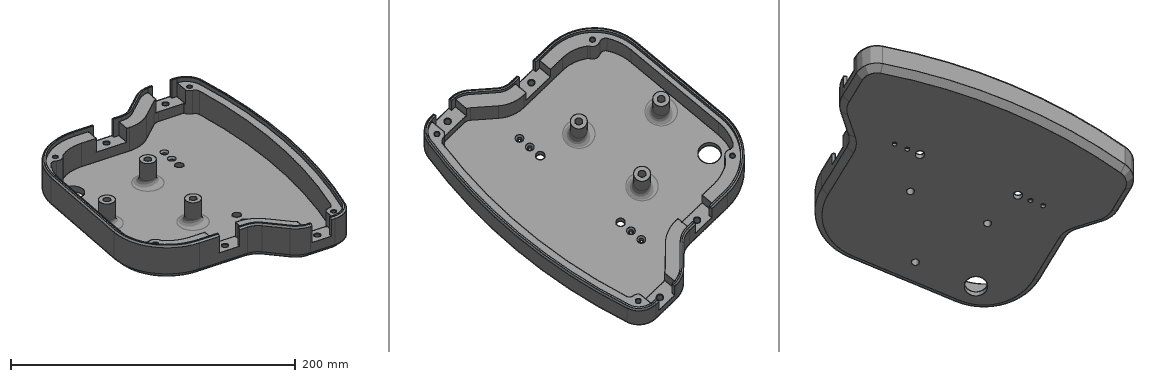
import cadquery as cq
import math

half_width = 108.5
half_length = 84.8
height = 28.0
floor_thickness = 5.0
bottom_chamfer = 5.0

body_half_width = 85.9
rear_arc_radius = 407.7
shoulder_y = 28.8
waist_y = 4.3
head_corner_radius = 16.7
shoulder_radius = 20.0
waist_radius = 14.3
front_corner_radius = 43.8

lip_thickness = 2.5
lip_chamfer = 1.3
ledge_z = 24.5

side_wall = 13.0
rear_wall = 9.0
front_wall = 6.3

rear_boss = (96.7, 63.1)
front_boss = (67.2, -66.0)
boss_radius = 5.5
rear_wall_start_y = 59.5
front_wall_start_y = -64.0
blend_points = [(91.5, 64.6), (62.0, -64.6), (65.0, -71.0)]
boss_blend_radius = 4.3
boss_hole_diameter = 3.5
boss_hole_mouth = 4.1

notch_z = 13.0
notches = [
    (half_width, (38.2, 54.2), (34.3, 58.3), 102.0, 46.5),
    (body_half_width, (-24.5, -7.8), (-28.6, -3.5), 79.5, -16.0),
]
notch_inner_x = 71.5
notch_hole_diameter = 4.3
notch_hole_mouth = 5.2
screw_depth = 10.8

standoffs = [(-30.4, -12.1), (30.4, -12.1), (0.0, -64.6)]
standoff_diameter = 12.0
standoff_bore = 5.5
standoff_flare = 5.5

hole_row_y = 18.9
countersunk_x = (58.5, 48.5)
plain_hole_x = 38.5
plain_hole_diameter = 6.5
pilot_diameter = 3.3
countersink_diameter = 6.0
cable_hole = (-47.3, -63.8)
cable_hole_diameter = 16.5


def mirrored(x, y):
    """Return a point and its mirror image about the YZ plane."""
    return [(x, y), (-x, y)]


def outer_prism():
    """Full-height block with the rounded outer outline."""
    rear_sag = rear_arc_radius - math.sqrt(rear_arc_radius**2 - half_width**2)
    rear_corner_y = half_length - rear_sag
    block = (
        cq.Workplane("XY")
        .moveTo(-half_width, rear_corner_y)
        .threePointArc((0, half_length), (half_width, rear_corner_y))
        .lineTo(half_width, shoulder_y)
        .lineTo(body_half_width, waist_y)
        .lineTo(body_half_width, -half_length)
        .lineTo(-body_half_width, -half_length)
        .lineTo(-body_half_width, waist_y)
        .lineTo(-half_width, shoulder_y)
        .close()
        .extrude(height)
    )
    corners = [
        (half_width, rear_corner_y, head_corner_radius),
        (half_width, shoulder_y, shoulder_radius),
        (body_half_width, waist_y, waist_radius),
        (body_half_width, -half_length, front_corner_radius),
    ]
    for x, y, radius in corners:
        for corner in mirrored(x, y):
            edge = cq.selectors.NearestToPointSelector((*corner, height / 2))
            block = block.edges("|Z").edges(edge).fillet(radius)
    return block


def inset_prism(block, inset, bottom_z):
    """Prism of the outline moved inwards, from bottom_z up to the rim."""
    outline = block.faces("<Z").wires().val()
    inner = outline.offset2D(-inset)[0]
    return cq.Workplane("XY").add(inner).toPending().extrude(height).translate((0, 0, bottom_z))


def box(x_range, y_range, z_range):
    """Axis-aligned box given by its three ranges."""
    sizes = [high - low for low, high in (x_range, y_range, z_range)]
    corner = (x_range[0], y_range[0], z_range[0])
    return cq.Workplane("XY").box(*sizes, centered=False).translate(corner)


def cylinders(points, diameter, z_range):
    """Upright cylinders of one diameter at the given points."""
    low, high = z_range
    return cq.Workplane("XY", origin=(0, 0, low)).pushPoints(points).circle(diameter / 2).extrude(high - low)


def countersunk_holes(points, diameter, mouth_diameter, z_range):
    """Hole cutters with a 45 degree countersink at the top end."""
    low, high = z_range
    sink_depth = (mouth_diameter - diameter) / 2
    sink = cq.Solid.makeCone(diameter / 2, mouth_diameter / 2, sink_depth, (0, 0, high - sink_depth))
    cutters = cylinders(points, diameter, z_range)
    for x, y in points:
        cutters = cutters.union(cq.Workplane(sink.translate((x, y, 0))))
    return cutters


def pocket(block):
    """Space inside the walls, with the corner bosses left standing."""
    pocket_z = (floor_thickness, floor_thickness + height)
    rear_zone = box((-rear_boss[0], rear_boss[0]), (rear_wall_start_y, half_length), pocket_z)
    front_zone = box((-front_boss[0], front_boss[0]), (-half_length, front_wall_start_y), pocket_z)
    space = (
        inset_prism(block, side_wall, floor_thickness)
        .union(inset_prism(block, rear_wall, floor_thickness).intersect(rear_zone))
        .union(inset_prism(block, front_wall, floor_thickness).intersect(front_zone))
        .clean()
    )
    for boss in (rear_boss, front_boss):
        space = space.cut(cylinders(mirrored(*boss), 2 * boss_radius, pocket_z))
    for junction in blend_points:
        for x, y in mirrored(*junction):
            edge = cq.selectors.NearestToPointSelector((x, y, pocket_z[0] + height / 2))
            space = space.edges("|Z").edges(edge).fillet(boss_blend_radius)
    return space


def cut_notches(tray):
    """Cut the side notches, each narrower through the lip than through the wall."""
    for outer_x, lip_y, wall_y, screw_x, screw_y in notches:
        lip_inner_x = outer_x - lip_thickness
        for side in (1, -1):
            lip_x = sorted((side * outer_x, side * lip_inner_x))
            wall_x = sorted((side * lip_inner_x, side * notch_inner_x))
            tray = tray.cut(box(lip_x, lip_y, (notch_z, height)))
            tray = tray.cut(box(wall_x, wall_y, (notch_z, height)))
        screws = mirrored(screw_x, screw_y)
        hole_z = (notch_z - screw_depth, notch_z)
        holes = countersunk_holes(screws, notch_hole_diameter, notch_hole_mouth, hole_z)
        tray = tray.cut(holes)
    return tray


def drill_bosses(tray):
    """Drill the blind screw holes in the corner bosses."""
    screws = mirrored(*rear_boss) + mirrored(*front_boss)
    hole_z = (ledge_z - screw_depth, ledge_z)
    holes = countersunk_holes(screws, boss_hole_diameter, boss_hole_mouth, hole_z)
    return tray.cut(holes)


def standoff():
    """Post at the origin with a concave flare blending into the floor."""
    radius = standoff_diameter / 2
    flare_diagonal = standoff_flare * (1 - math.sqrt(0.5))
    return (
        cq.Workplane("XZ")
        .moveTo(0, 0)
        .lineTo(radius + standoff_flare, 0)
        .lineTo(radius + standoff_flare, floor_thickness)
        .threePointArc(
            (radius + flare_diagonal, floor_thickness + flare_diagonal),
            (radius, floor_thickness + standoff_flare),
        )
        .lineTo(radius, ledge_z)
        .lineTo(0, ledge_z)
        .close()
        .revolve(360, (0, 0), (0, 1))
    )


def add_standoffs(tray):
    """Add the standoffs and bore them through the floor."""
    for x, y in standoffs:
        tray = tray.union(standoff().translate((x, y, 0)))
    return tray.cut(cylinders(standoffs, standoff_bore, (0, ledge_z)))


def drill_floor(tray):
    """Drill the two hole rows and the cable hole."""
    pilots = [point for x in countersunk_x for point in mirrored(x, hole_row_y)]
    floor_z = (0, floor_thickness)
    tray = tray.cut(countersunk_holes(pilots, pilot_diameter, countersink_diameter, floor_z))
    tray = tray.cut(cylinders(mirrored(plain_hole_x, hole_row_y), plain_hole_diameter, floor_z))
    return tray.cut(cylinders([cable_hole], cable_hole_diameter, floor_z))


block = outer_prism()
lip_space = inset_prism(block, lip_thickness, ledge_z)

tray = block.faces("<Z").chamfer(bottom_chamfer).faces(">Z").chamfer(lip_chamfer)
tray = tray.cut(lip_space).cut(pocket(block))
tray = cut_notches(tray)
tray = drill_bosses(tray)
tray = add_standoffs(tray)
result = drill_floor(tray)